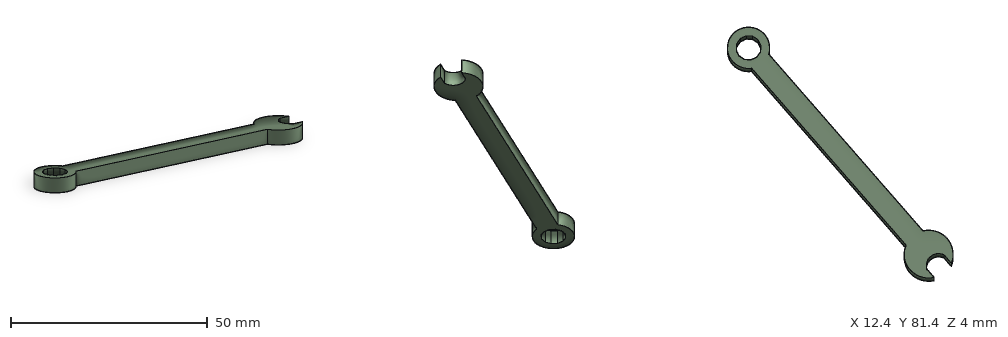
import cadquery as cq
import math

overall_length = 81.4
thickness = 4.0
handle_width = 5.7
ring_radius = 5.4
ring_hole_sides = 12
ring_hole_diameter = 6.35
head_diameter = 12.45
head_radius = head_diameter / 2
jaw_width = handle_width
jaw_floor_radius = 3.1
jaw_floor_offset = 0.8

jaw_tip_y = overall_length - ring_radius
head_center_y = jaw_tip_y - math.sqrt(head_radius**2 - (jaw_width / 2) ** 2)

jaw_floor_y = head_center_y + jaw_floor_offset
floor_arc_center_y = jaw_floor_y + jaw_floor_radius
floor_arc_rise = math.sqrt(jaw_floor_radius**2 - (jaw_width / 2) ** 2)
jaw_side_start_y = floor_arc_center_y - floor_arc_rise
jaw_cut_end_y = head_center_y + head_radius


def make_body():
    """Handle joining the closed ring to the round open head."""
    ring = cq.Workplane("XY").circle(ring_radius).extrude(thickness)
    head = cq.Workplane("XY").center(0, head_center_y).circle(head_radius).extrude(thickness)
    handle = (
        cq.Workplane("XY")
        .center(0, head_center_y / 2)
        .rect(handle_width, head_center_y)
        .extrude(thickness)
    )
    return handle.union(ring).union(head)


def make_ring_hole():
    """Twelve-sided through hole with a corner on the +X axis."""
    return cq.Workplane("XY").polygon(ring_hole_sides, ring_hole_diameter).extrude(thickness)


def make_jaw():
    """Open slot with parallel sides and a round floor."""
    half_width = jaw_width / 2
    return (
        cq.Workplane("XY")
        .moveTo(-half_width, jaw_cut_end_y)
        .lineTo(-half_width, jaw_side_start_y)
        .threePointArc((0, jaw_floor_y), (half_width, jaw_side_start_y))
        .lineTo(half_width, jaw_cut_end_y)
        .close()
        .extrude(thickness)
    )


result = make_body().cut(make_ring_hole()).cut(make_jaw())